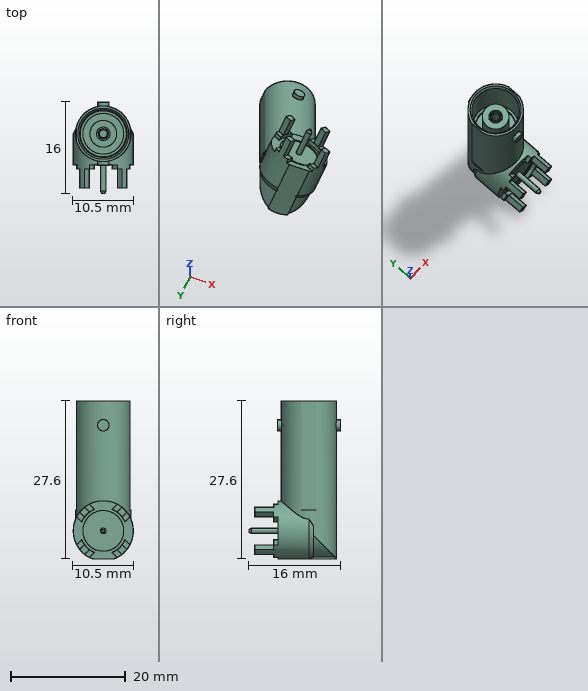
import cadquery as cq
import math


overall_depth = 16.0
overall_height = 27.64
housing_bottom = -4.92

barrel_radius = 4.85
barrel_top = housing_bottom + overall_height
flat_across = 9.36
flat_length = 19.1

mouth_radius = 4.45
bore_entry_radius = 4.15
bore_radius = 4.02
mouth_chamfer_depth = 0.45
bore_depth = 8.5
insulator_radius = 3.56
insulator_step = 0.5
insulator_post_radius = 2.34
insulator_post_depth = 3.4

contact_gap_radius = 1.17
contact_gap_depth = 1.0
contact_radius = 0.88
contact_bore_radius = 0.70
contact_chamfer_depth = 0.3
contact_bore_depth = 4.0

stud_radius = 1.0
stud_reach = 5.53
stud_height = 18.45

housing_radius = 5.26
housing_face_y = -5.42
shoulder_length = 0.8
foot_height = 0.32
face_recess_depth = 0.2

leg_count = 4
leg_inner_radius = 4.07
pad_width = 3.14
pad_height = 0.75
leg_width = 1.24
leg_length = 4.07
leg_end_y = housing_face_y - leg_length

pin_radius = 0.5
pin_tip_radius = 0.25
pin_tip_length = 0.47
pin_end_y = stud_reach - overall_depth


def revolve_profile(plane, profile):
    """Solid of revolution about the second axis of the named plane."""
    return cq.Workplane(plane).polyline(profile).close().revolve(360, (0, 0, 0), (0, 1, 0))


def disc_z(radius, z_low, z_high):
    """Cylinder on the barrel axis between two heights, with its seam on the -Y side."""
    disc = cq.Workplane("XY", origin=(0, 0, z_low)).circle(radius).extrude(z_high - z_low)
    return disc.rotate((0, 0, 0), (0, 0, 1), -90)


def disc_y(radius, y_front, y_back):
    """Cylinder on the housing axis between two Y positions."""
    return cq.Workplane("XZ", origin=(0, y_back, 0)).circle(radius).extrude(y_back - y_front)


def box_between(low, high):
    """Axis-aligned box between two opposite corners."""
    size = [b - a for a, b in zip(low, high)]
    return cq.Workplane("XY").box(*size, centered=False).translate(low)


def make_barrel():
    """Barrel above the housing axis, with flats on its two sides."""
    barrel = disc_z(barrel_radius, 0, barrel_top)
    half_flat = flat_across / 2
    flat_base = barrel_top - flat_length
    for x_low, x_high in ((half_flat, barrel_radius), (-barrel_radius, -half_flat)):
        barrel = barrel.cut(
            box_between((x_low, -barrel_radius, flat_base), (x_high, barrel_radius, barrel_top))
        )
    return barrel


def make_leg_clearance():
    """Space around the legs and pads, which stand on the diagonals of the housing face."""
    pad_y = housing_face_y - pad_height
    outer_radius = 2 * housing_radius
    pad = box_between((0, pad_y, -pad_width / 2), (outer_radius, housing_face_y, pad_width / 2))
    pad = pad.cut(disc_y(leg_inner_radius, pad_y, housing_face_y))
    leg = box_between(
        (leg_inner_radius, leg_end_y, -leg_width / 2),
        (outer_radius, housing_face_y, leg_width / 2),
    )
    padded_leg = pad.union(leg)
    clearance = disc_y(outer_radius, leg_end_y, housing_face_y)
    pitch = 360 / leg_count
    for index in range(leg_count):
        clearance = clearance.cut(padded_leg.rotate((0, 0, 0), (0, 1, 0), pitch * (index + 0.5)))
    return clearance


def make_housing():
    """Housing with its legs and a conical shoulder that mitres into the barrel's lower end."""
    profile = [
        (0, leg_end_y),
        (housing_radius, leg_end_y),
        (housing_radius, 0),
        (barrel_radius, shoulder_length),
        (0, shoulder_length),
    ]
    front = revolve_profile("XY", profile)

    half_foot = math.sqrt(housing_radius**2 - housing_bottom**2)
    half_foot_top = half_foot - foot_height
    foot_top = housing_bottom + foot_height
    foot = (
        cq.Workplane("XZ", origin=(0, barrel_radius, 0))
        .moveTo(-half_foot, housing_bottom)
        .lineTo(half_foot, housing_bottom)
        .lineTo(half_foot_top, foot_top)
        .lineTo(0, 0)
        .lineTo(-half_foot_top, foot_top)
        .close()
        .extrude(barrel_radius)
    )
    elbow = disc_y(barrel_radius, shoulder_length, barrel_radius).union(foot)
    elbow = elbow.intersect(disc_z(barrel_radius, housing_bottom, 0))

    trim = box_between(
        (-housing_radius, leg_end_y, -housing_radius),
        (housing_radius, barrel_radius, housing_bottom),
    )
    recess = disc_y(insulator_radius, housing_face_y, housing_face_y + face_recess_depth)
    return front.cut(make_leg_clearance()).union(elbow).cut(trim).cut(recess)


def make_socket_void():
    """Empty space inside the barrel: mouth, tapered bore and insulator well."""
    bore_floor = barrel_top - bore_depth
    well_floor = bore_floor - insulator_step
    profile = [
        (0, barrel_top),
        (mouth_radius, barrel_top),
        (bore_entry_radius, barrel_top - mouth_chamfer_depth),
        (bore_radius, bore_floor),
        (insulator_radius, bore_floor),
        (insulator_radius, well_floor),
        (0, well_floor),
    ]
    void = revolve_profile("XZ", profile)

    post_top = barrel_top - insulator_post_depth
    contact_bore_floor = post_top - contact_bore_depth
    post = disc_z(insulator_post_radius, well_floor, post_top)
    gap = disc_z(contact_gap_radius, post_top - contact_gap_depth, post_top)
    gap = gap.cut(disc_z(contact_radius, post_top - contact_gap_depth, post_top))
    contact_bore_profile = [
        (0, post_top),
        (contact_radius, post_top),
        (contact_bore_radius, post_top - contact_chamfer_depth),
        (contact_bore_radius, contact_bore_floor),
        (0, contact_bore_floor),
    ]
    contact_bore = revolve_profile("XZ", contact_bore_profile)
    return void.cut(post.cut(gap).cut(contact_bore))


def make_studs():
    """Bayonet studs on the front and back of the barrel."""
    studs = disc_y(stud_radius, -stud_reach, stud_reach)
    return studs.translate((0, 0, stud_height)).cut(disc_z(bore_entry_radius, 0, barrel_top))


def make_pin():
    """Signal pin with a tapered tip."""
    profile = [
        (0, 0),
        (pin_radius, 0),
        (pin_radius, pin_end_y + pin_tip_length),
        (pin_tip_radius, pin_end_y),
        (0, pin_end_y),
    ]
    return revolve_profile("XY", profile)


result = make_barrel().union(make_housing()).cut(make_socket_void())
result = result.union(make_studs()).union(make_pin())